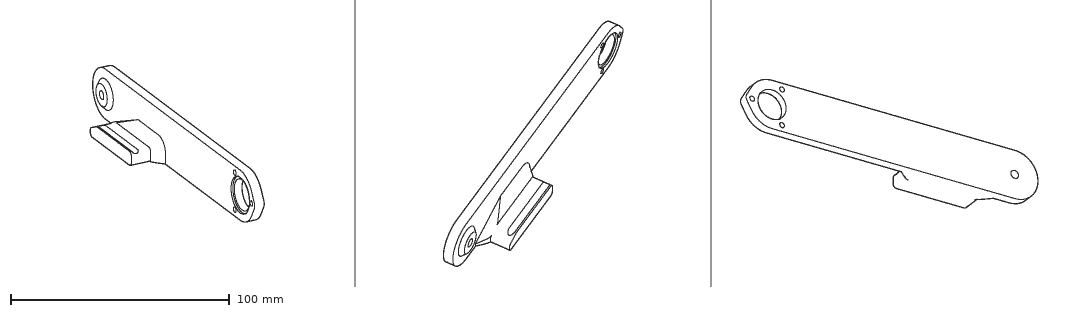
import cadquery as cq
import math

end_radius = 12.5
plate_thickness = 5.0
overall_length = 156.5
bearing_x = 130.0

boss_radius = 7.5
boss_height = 2.0
pivot_diameter = 4.0

bore_diameter = 15.0
seat_diameter = 17.7
seat_depth = 1.0
screw_diameter = 2.5
screw_circle_radius = 10.6
screw_count = 3
tip_x = overall_length - end_radius
tip_radius = tip_x - bearing_x - screw_circle_radius

arm_left = 13.1
arm_right = 52.9
arm_top = -5.5
arm_bottom = -end_radius
arm_end = 20.0
arm_corner_radius = 1.9
flare = 5.0
ramp_start_x = 19.9
ramp_slope = 0.435
groove_radius = 1.9
groove_distance = 17.5
groove_depth = 1.1


def front_plane(distance=0.0):
    """Plane parallel to the plate, with its normal along -Y."""
    return cq.Workplane("XZ", origin=(0, -distance, 0))


def cylinder(x, z, diameter, start, length):
    return front_plane(start).center(x, z).circle(diameter / 2).extrude(length)


def ramp_height(x):
    return arm_top + ramp_slope * (x - ramp_start_x)


def make_plate():
    flank_angle = math.acos((end_radius - tip_radius) / screw_circle_radius)
    cosine = math.cos(flank_angle)
    sine = math.sin(flank_angle)
    middle_cosine = math.cos((math.pi / 2 + flank_angle) / 2)
    middle_sine = math.sin((math.pi / 2 + flank_angle) / 2)
    tip_center = bearing_x + screw_circle_radius

    def end_arc_point(side, c, s):
        return (bearing_x + end_radius * c, side * end_radius * s)

    def tip_point(side):
        return (tip_center + tip_radius * cosine, side * tip_radius * sine)

    return (
        front_plane()
        .moveTo(0, end_radius)
        .lineTo(bearing_x, end_radius)
        .threePointArc(end_arc_point(1, middle_cosine, middle_sine), end_arc_point(1, cosine, sine))
        .lineTo(*tip_point(1))
        .threePointArc((tip_x, 0), tip_point(-1))
        .lineTo(*end_arc_point(-1, cosine, sine))
        .threePointArc(end_arc_point(-1, middle_cosine, middle_sine), (bearing_x, -end_radius))
        .lineTo(0, -end_radius)
        .threePointArc((-end_radius, 0), (0, end_radius))
        .close()
        .extrude(plate_thickness)
    )


def make_boss():
    return (
        front_plane(plate_thickness)
        .circle(boss_radius)
        .workplane(offset=boss_height)
        .circle(boss_radius - boss_height)
        .loft()
    )


def make_arm():
    return (
        front_plane(plate_thickness)
        .moveTo(arm_left, arm_bottom)
        .lineTo(arm_right, arm_bottom)
        .lineTo(arm_right, arm_top)
        .lineTo(ramp_start_x, arm_top)
        .lineTo(arm_left, ramp_height(arm_left))
        .close()
        .extrude(arm_end - plate_thickness)
        .edges("|Y")
        .fillet(arm_corner_radius)
    )


def make_flare():
    root_start = plate_thickness + flare
    arm_outline = make_arm().faces("<Y").wires().val().translate(cq.Vector(0, arm_end - root_start, 0))
    flared_root = front_plane(root_start).add(arm_outline).toPending().extrude(-flare, taper=-45)
    left = arm_left - flare
    right = arm_right + flare
    top = arm_top + flare
    ramp_end_x = ramp_start_x + flare / ramp_slope
    trim = (
        front_plane(plate_thickness)
        .moveTo(left, arm_bottom)
        .lineTo(right, arm_bottom)
        .lineTo(right, top)
        .lineTo(ramp_end_x, top)
        .lineTo(left, ramp_height(left))
        .close()
        .extrude(flare)
    )
    return flared_root.intersect(trim)


def make_groove():
    groove_z = arm_top - groove_depth + groove_radius
    return (
        cq.Workplane("YZ", origin=(arm_left, -groove_distance, groove_z))
        .circle(groove_radius)
        .extrude(arm_right - arm_left)
    )


def make_bearing_cuts():
    cuts = cylinder(bearing_x, 0, bore_diameter, 0, plate_thickness)
    cuts = cuts.union(cylinder(bearing_x, 0, seat_diameter, plate_thickness - seat_depth, seat_depth))
    for index in range(screw_count):
        angle = 2 * math.pi * index / screw_count
        x = bearing_x + screw_circle_radius * math.cos(angle)
        z = screw_circle_radius * math.sin(angle)
        cuts = cuts.union(cylinder(x, z, screw_diameter, 0, plate_thickness))
    return cuts


arm = make_arm().union(make_flare()).cut(make_groove())
pivot_hole = cylinder(0, 0, pivot_diameter, 0, plate_thickness + boss_height)

result = make_plate().union(make_boss()).union(arm).cut(pivot_hole).cut(make_bearing_cuts())